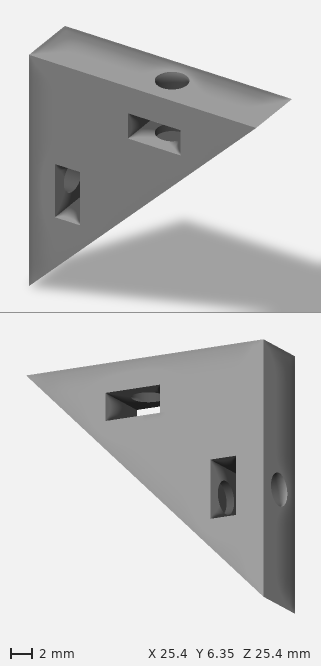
import cadquery as cq

leg = 25.4
thickness = 6.35

hole_diameter = 3.28
hole_from_corner = 14.0
hole_depth = 6.5
slot_length = 5.85
slot_width = 2.77
slot_from_edge = 2.92


def nut_slot(x_size, z_size, x, z):
    """Rectangular slot through the whole thickness, centred at (x, z)."""
    return cq.Workplane("XY").box(x_size, thickness, z_size).translate((x, thickness / 2, z))


def screw_hole(start, direction):
    """Blind round hole running from an outer edge face into the body."""
    return cq.Workplane(
        cq.Solid.makeCylinder(hole_diameter / 2, hole_depth, cq.Vector(*start), cq.Vector(*direction))
    )


body = (
    cq.Workplane("XZ")
    .polyline([(0, 0), (0, leg), (leg, leg)])
    .close()
    .extrude(-thickness)
)

slot_center_depth = slot_from_edge + slot_width / 2
hole_height = leg - hole_from_corner
mid_thickness = thickness / 2

body = body.cut(nut_slot(slot_length, slot_width, hole_from_corner, leg - slot_center_depth))
body = body.cut(screw_hole((hole_from_corner, mid_thickness, leg), (0, 0, -1)))

body = body.cut(nut_slot(slot_width, slot_length, slot_center_depth, hole_height))
body = body.cut(screw_hole((0, mid_thickness, hole_height), (1, 0, 0)))

result = body